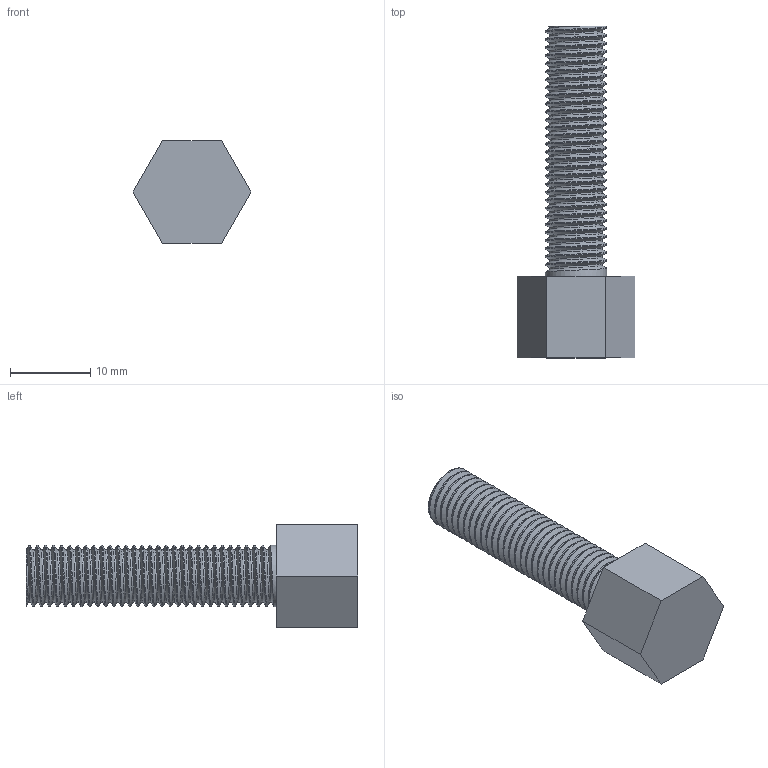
import cadquery as cq
import math

HEX_SIDES = 6
HEAD_ACROSS_FLATS = 12.7
HEAD_LENGTH = 10.16

OVERALL_LENGTH = 41.27
SHANK_DIAMETER = 7.62

PITCH = 1.0
CREST_WIDTH = PITCH / 8
ROOT_WIDTH = PITCH / 4
FLANK_HALF_ANGLE = math.radians(30)
CUTTER_OVERLAP = 0.05

shank_radius = SHANK_DIAMETER / 2
shank_length = OVERALL_LENGTH - HEAD_LENGTH
groove_width = PITCH - CREST_WIDTH
thread_start = groove_width / 2
thread_depth = (groove_width - ROOT_WIDTH) / 2 / math.tan(FLANK_HALF_ANGLE)


def make_head():
    """Hexagonal prism below Z = 0, with corners on the X axis."""
    across_corners = HEAD_ACROSS_FLATS / math.cos(math.pi / HEX_SIDES)
    return cq.Workplane("XY").polygon(HEX_SIDES, across_corners).extrude(-HEAD_LENGTH)


def make_thread_cutter():
    """Trapezoidal groove wound along a helix that runs out through the shank's free end."""
    turns = math.ceil(shank_length / PITCH)
    root_radius = shank_radius - thread_depth
    outer_radius = shank_radius + CUTTER_OVERLAP
    root_half_width = ROOT_WIDTH / 2
    outer_half_width = groove_width / 2 + CUTTER_OVERLAP * math.tan(FLANK_HALF_ANGLE)
    groove_corners = [
        (root_radius, thread_start - root_half_width),
        (outer_radius, thread_start - outer_half_width),
        (outer_radius, thread_start + outer_half_width),
        (root_radius, thread_start + root_half_width),
    ]

    def corner_helix(radius, height):
        return cq.Wire.makeHelix(PITCH, turns * PITCH, radius, center=cq.Vector(0, 0, height))

    def end_face(rise):
        corners = [cq.Vector(radius, 0, height + rise) for radius, height in groove_corners]
        return cq.Face.makeFromWires(cq.Wire.makePolygon(corners, close=True))

    helices = [corner_helix(radius, height) for radius, height in groove_corners]
    faces = [end_face(0), end_face(turns * PITCH)]
    for helix, next_helix in zip(helices, helices[1:] + helices[:1]):
        faces += cq.Face.makeRuledSurface(helix, next_helix).Faces()
    return cq.Workplane(cq.Solid.makeSolid(cq.Shell.makeShell(faces)))


def make_shank():
    """Threaded cylinder standing on Z = 0."""
    blank = cq.Workplane("XY").circle(shank_radius).extrude(shank_length)
    return blank.cut(make_thread_cutter())


screw = make_head().union(make_shank())
result = screw.rotate((0, 0, 0), (1, 0, 0), -90)